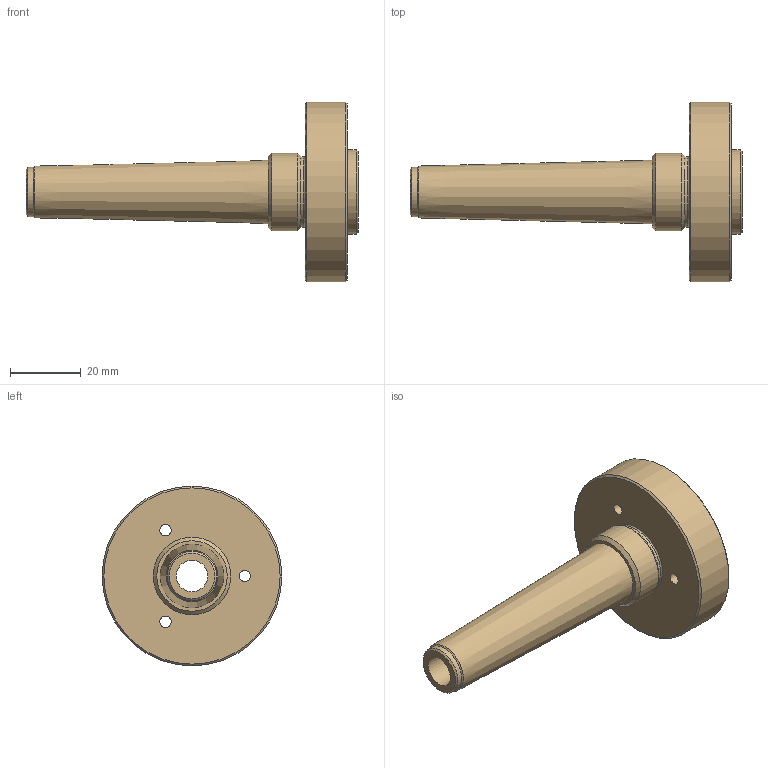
import cadquery as cq
import math


total_length = 94.17
boss_length = 3.0
flange_thickness = 12.0
collar_length = 9.3
neck_length = 1.2
tip_length = 2.0

tip_diameter = 14.0
shank_small_diameter = 14.72
shank_large_diameter = 18.03
collar_diameter = 22.0
neck_diameter = 20.0
flange_diameter = 51.0
boss_diameter = 24.0
bore_diameter = 8.92

edge_chamfer = 0.5
collar_chamfer = (collar_diameter - neck_diameter) / 2
tip_step_run = 0.3
neck_fillet = 0.4

hole_diameter = 3.24
hole_circle_radius = 15.0
hole_count = 3
first_hole_angle = 180.0

flange_end = total_length - boss_length
flange_start = flange_end - flange_thickness
neck_start = flange_start - neck_length
collar_start = neck_start - collar_length


def make_turned_body():
    """Revolve the outer half profile, given as (x, radius), about the X axis."""
    tip_radius = tip_diameter / 2
    collar_radius = collar_diameter / 2
    neck_radius = neck_diameter / 2
    flange_radius = flange_diameter / 2
    boss_radius = boss_diameter / 2
    profile = (
        cq.Workplane("XY")
        .moveTo(0, 0)
        .lineTo(0, tip_radius - edge_chamfer)
        .lineTo(edge_chamfer, tip_radius)
        .lineTo(tip_length, tip_radius)
        .lineTo(tip_length + tip_step_run, shank_small_diameter / 2)
        .lineTo(collar_start, shank_large_diameter / 2)
        .lineTo(collar_start, collar_radius - collar_chamfer)
        .lineTo(collar_start + collar_chamfer, collar_radius)
        .lineTo(neck_start - collar_chamfer, collar_radius)
        .lineTo(neck_start, neck_radius)
        .lineTo(flange_start - neck_fillet, neck_radius)
        .radiusArc((flange_start, neck_radius + neck_fillet), -neck_fillet)
        .lineTo(flange_start, flange_radius - edge_chamfer)
        .lineTo(flange_start + edge_chamfer, flange_radius)
        .lineTo(flange_end - edge_chamfer, flange_radius)
        .lineTo(flange_end, flange_radius - edge_chamfer)
        .lineTo(flange_end, boss_radius)
        .lineTo(total_length - edge_chamfer, boss_radius)
        .lineTo(total_length, boss_radius - edge_chamfer)
        .lineTo(total_length, 0)
        .close()
    )
    return profile.revolve(360, (0, 0, 0), (1, 0, 0))


def make_bore():
    """Bore along the whole axis."""
    return cq.Workplane("YZ").circle(bore_diameter / 2).extrude(total_length)


def make_screw_holes():
    """Evenly spaced holes through the flange."""
    centers = []
    for index in range(hole_count):
        angle = math.radians(first_hole_angle + index * 360 / hole_count)
        centers.append((hole_circle_radius * math.cos(angle), hole_circle_radius * math.sin(angle)))
    return (
        cq.Workplane("YZ", origin=(flange_start, 0, 0))
        .pushPoints(centers)
        .circle(hole_diameter / 2)
        .extrude(flange_thickness)
    )


result = make_turned_body().cut(make_bore()).cut(make_screw_holes())